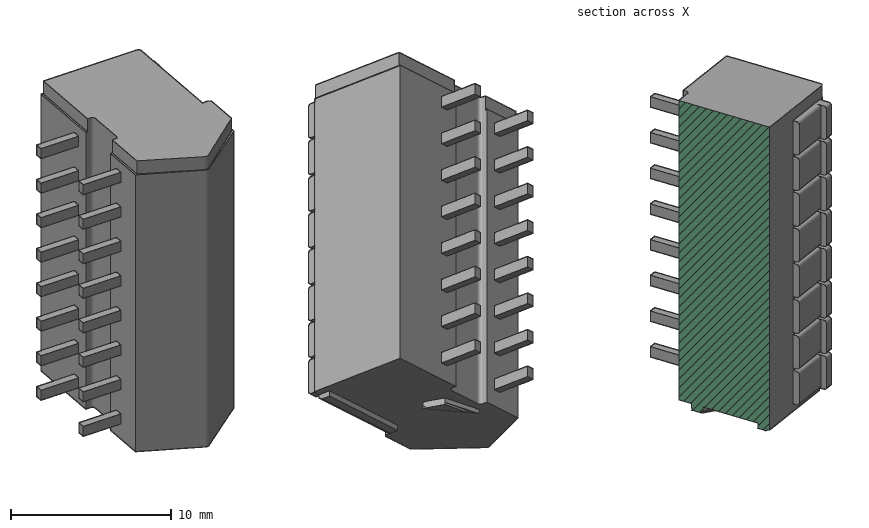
import cadquery as cq

total_height = 21.82
body_bottom = 0.45
lid_height = 0.95
lid_bottom = total_height - lid_height
body_height = lid_bottom - body_bottom
lid_inset_x = 0.07
lid_inset_y = 0.13
edge_radius = 0.22

ledge_depth = 7.2
nose_start = 7.48
nose_depth = 7.92
nose_end = 10.04
tip_x = 13.05
tip_y = 4.15
foot_end = 11.15

groove_left = 5.28
groove_right = 8.2
groove_depth = 0.57

way_count = 8
first_way_z = 1.96
way_row_length = 17.8
way_pitch = way_row_length / (way_count - 1)
pin_width = 0.52
pin_height = 0.75
pin_length = 2.77
pin_columns = (4.2, 9.16)

key_height = 2.38
key_left = 0.52
key_width = 0.6
key_top = 8.07
arm_width = 2.6
arm_top = 7.65

rail_height = 0.37
rail_width = 0.9
rail_left = key_left
rail_right = nose_start - rail_left
rail_bevel_height = 0.15
rail_bevel_width = 2 * rail_bevel_height
peg_base_height = 0.3
peg_back = (5.55, 2.97)
peg_front = (6.02, 1.57)
peg_base_outline = [peg_back, peg_front, (8.62, 1.03)]
peg_tip_outline = [peg_back, peg_front, (7.75, 1.29)]

way_heights = [first_way_z + way * way_pitch for way in range(way_count)]


def block(x, y, z):
    """Box spanning the given (low, high) pair along each axis."""
    size = (x[1] - x[0], y[1] - y[0], z[1] - z[0])
    return cq.Workplane("XY").box(*size, centered=False).translate((x[0], y[0], z[0]))


def round_upright_edges(solid, corners):
    """Round the Z edges that stand at the given (x, y) corners."""
    reach = 0.02
    for x, y in corners:
        low = (x - reach, y - reach, 0)
        high = (x + reach, y + reach, total_height)
        picked = cq.selectors.BoxSelector(low, high)
        solid = solid.edges("|Z").edges(picked).fillet(edge_radius)
    return solid


def housing_section(bottom, height, inset_x, inset_y):
    """Length of the housing with its outer walls moved in by the insets."""
    left = inset_x
    pin_face = inset_y
    nose_face = nose_depth - inset_y
    outer_points = [
        (left, pin_face),
        (foot_end - inset_x, pin_face),
        (tip_x - inset_x, tip_y),
        (nose_end - inset_x, nose_face),
        (left, nose_face),
    ]
    section = cq.Workplane("XY", origin=(0, 0, bottom)).polyline(outer_points).close().extrude(height)
    levels = (bottom, bottom + height)
    section = section.cut(block((0, nose_start), (ledge_depth, nose_depth), levels))
    section = section.cut(block((groove_left, groove_right), (0, groove_depth), levels))
    corners = [
        (left, ledge_depth),
        (nose_start, nose_face),
        (tip_x - inset_x, tip_y),
        (groove_left, groove_depth),
        (groove_right, groove_depth),
    ]
    return round_upright_edges(section, corners)


def pin(x, z):
    """Straight rectangular pin, rooted as deep as the groove floor."""
    return block(
        (x - pin_width / 2, x + pin_width / 2),
        (-pin_length, groove_depth),
        (z - pin_height / 2, z + pin_height / 2),
    )


def key(z):
    """Raised head with a lower arm beside it, both with rounded upper and lower ends."""
    levels = (z - key_height / 2, z + key_height / 2)
    head_right = key_left + key_width
    head = block((key_left, head_right), (groove_depth, key_top), levels)
    head = head.edges("|X and >Y").fillet(edge_radius)
    arm = block((key_left, head_right + arm_width), (groove_depth, arm_top), levels)
    arm = arm.edges("|X and >Y").fillet(edge_radius)
    return head.union(arm)


def locating_rail():
    """Bar along the ledge side with a bevelled outer edge."""
    rail = block(
        (rail_left, rail_right),
        (ledge_depth - rail_width, ledge_depth),
        (body_bottom - rail_height, body_bottom),
    )
    return rail.faces("<Z").edges(">Y").chamfer(rail_bevel_height, rail_bevel_width)


def locating_peg():
    """Low three-sided peg in two tiers, the smaller one reaching lower."""
    base_start = body_bottom - peg_base_height
    base = cq.Workplane("XY", origin=(0, 0, base_start)).polyline(peg_base_outline).close()
    tip = cq.Workplane("XY").polyline(peg_tip_outline).close()
    return base.extrude(peg_base_height).union(tip.extrude(body_bottom))


result = housing_section(body_bottom, body_height, 0, 0)
result = result.union(housing_section(lid_bottom, lid_height, lid_inset_x, lid_inset_y))
for way_z in way_heights:
    for column in pin_columns:
        result = result.union(pin(column, way_z))
    result = result.union(key(way_z))
result = result.union(locating_rail()).union(locating_peg())